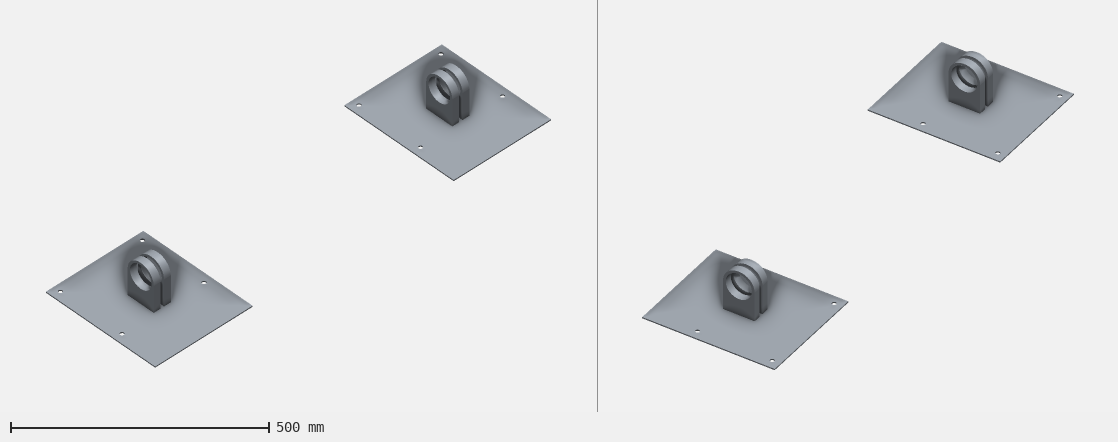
import cadquery as cq

overall_length = 1059.0
overall_height = 108.0

plate_width = 306.0
plate_depth = 260.0
plate_thickness = 3.0
bracket_pitch = overall_length - plate_depth

mount_hole_diameter = 10.0
mount_hole_left_margin = 19.0
mount_hole_spacing_x = 173.0
mount_hole_spacing_y = 219.0

lug_width = 73.0
lug_thickness = 18.0
lug_gap = 10.0
lug_bore_diameter = 60.0
lug_corner_radius = 36.0
bore_height = overall_height - lug_corner_radius
lug_offset = (lug_thickness + lug_gap) / 2


def make_plate():
    """Flat plate resting on Z = 0, with four through holes."""
    hole_center_x = -plate_width / 2 + mount_hole_left_margin + mount_hole_spacing_x / 2
    return (
        cq.Workplane("XY")
        .box(plate_width, plate_depth, plate_thickness, centered=(True, True, False))
        .faces(">Z")
        .workplane(origin=(hole_center_x, 0, plate_thickness))
        .rect(mount_hole_spacing_x, mount_hole_spacing_y, forConstruction=True)
        .vertices()
        .hole(mount_hole_diameter)
    )


def make_lug(center_y):
    """Upright lug with two large rounded corners and a bore along Y."""
    block = (
        cq.Workplane("XY", origin=(0, center_y, 0))
        .box(lug_width, lug_thickness, overall_height, centered=(True, True, False))
        .edges("|Y and >Z")
        .fillet(lug_corner_radius)
    )
    bore = (
        cq.Workplane("XZ", origin=(0, center_y, bore_height))
        .circle(lug_bore_diameter / 2)
        .extrude(lug_thickness, both=True)
    )
    return block.cut(bore)


def make_bracket(center_y):
    """One solid bracket: the plate with its two lugs."""
    bracket = make_plate()
    for lug_y in (-lug_offset, lug_offset):
        bracket = bracket.union(make_lug(lug_y))
    return bracket.translate((0, center_y, 0))


brackets = [make_bracket(center_y) for center_y in (-bracket_pitch / 2, bracket_pitch / 2)]

result = cq.Compound.makeCompound([bracket.val() for bracket in brackets])